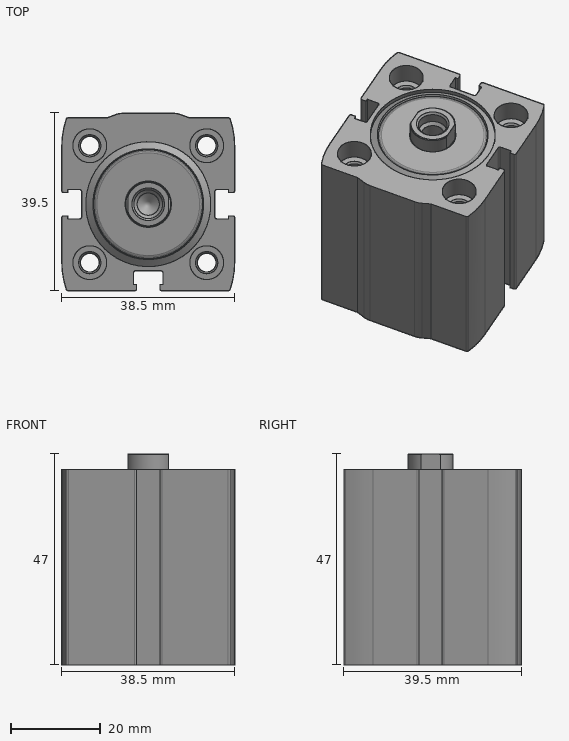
import cadquery as cq
import math

TOTAL_HEIGHT = 47.0
ROD_PROTRUSION = 3.5
HOUSING_HEIGHT = TOTAL_HEIGHT - ROD_PROTRUSION
HALF_WIDTH = 38.5 / 2
BACK_BULGE = 39.5 - 2 * HALF_WIDTH

FLAT_SIDE_HALF = 12.8
SIDE_CURVE_RADIUS = 19.25
CORNER_FILLET = 0.5
BULGE_TOP_HALF = 6.4
BULGE_BASE_HALF = 9.05
BULGE_FILLET = 4.7

SLOT_NECK_HALF = 2.6
SLOT_HEAD_HALF = 3.25
SLOT_LIP = 1.4
SLOT_DEPTH = 4.4
SLOT_MOUTH_FILLET = 0.4
SLOT_CORNER_FILLET = 0.4

HOLE_PITCH = 26.0
HOLE_DIAMETER = 4.15
HOLE_CHAMFER_DIAMETER = 4.95
COUNTERBORE_DIAMETER = 7.5
COUNTERBORE_DEPTH = 5.05

TROUGH_RADIUS = 27.8 / 2
CREST_RADIUS = 12.3
TROUGH_DEPTH = 1.0
GROOVE_RADIUS = 12.1
GROOVE_DEPTH = 0.38
COVER_SHOULDER_RADIUS = 11.8
COVER_SHOULDER_DEPTH = 0.3
COVER_RADIUS = 11.4
COVER_DEPTH = 0.2
ROD_SEAT_CHAMFER = 0.15

ROD_RADIUS = 10.0 / 2
ROD_LENGTH = 23.5
ROD_TOP_CHAMFER = 0.2
ROD_FLAT_HALF = 4.5
ROD_FLAT_LENGTH = 4.6
ROD_SHOULDER_SLOPE = 30.0
ROD_BORE_RADIUS = 6.4 / 2
ROD_BORE_DEPTH = 2.65
ROD_BORE_CHAMFER = 0.4
ROD_BORE_CONE_HEIGHT = 0.55
TAP_RADIUS = 4.95 / 2
TAP_DEPTH = 13.15
DRILL_POINT_ANGLE = 118.0

ROD_BOTTOM = TOTAL_HEIGHT - ROD_LENGTH


def revolved(points, z):
    """Solid of revolution about Z from (radius, height) points, with height 0 moved to z."""
    profile = cq.Workplane("XZ").polyline(points).close()
    return profile.revolve(360, (0, 0, 0), (0, 1, 0)).translate((0, 0, z))


def side_inset(y):
    """How far the curved part of a side has moved inwards at a distance y from the middle."""
    return SIDE_CURVE_RADIUS - math.sqrt(SIDE_CURVE_RADIUS**2 - (y - FLAT_SIDE_HALF) ** 2)


CORNER_X = HALF_WIDTH - side_inset(HALF_WIDTH)


def extruded_profile():
    """Extrusion with curved sides and a low flat bulge along the back (+Y)."""
    mid_y = (FLAT_SIDE_HALF + HALF_WIDTH) / 2
    mid_x = HALF_WIDTH - side_inset(mid_y)
    back_y = HALF_WIDTH + BACK_BULGE
    body = (
        cq.Workplane("XY")
        .moveTo(-CORNER_X, -HALF_WIDTH)
        .lineTo(CORNER_X, -HALF_WIDTH)
        .threePointArc((mid_x, -mid_y), (HALF_WIDTH, -FLAT_SIDE_HALF))
        .lineTo(HALF_WIDTH, FLAT_SIDE_HALF)
        .threePointArc((mid_x, mid_y), (CORNER_X, HALF_WIDTH))
        .lineTo(BULGE_BASE_HALF, HALF_WIDTH)
        .lineTo(BULGE_TOP_HALF, back_y)
        .lineTo(-BULGE_TOP_HALF, back_y)
        .lineTo(-BULGE_BASE_HALF, HALF_WIDTH)
        .lineTo(-CORNER_X, HALF_WIDTH)
        .threePointArc((-mid_x, mid_y), (-HALF_WIDTH, FLAT_SIDE_HALF))
        .lineTo(-HALF_WIDTH, -FLAT_SIDE_HALF)
        .threePointArc((-mid_x, -mid_y), (-CORNER_X, -HALF_WIDTH))
        .close()
        .extrude(HOUSING_HEIGHT)
    )
    mid_z = HOUSING_HEIGHT / 2
    for x_sign in (-1, 1):
        for y_sign in (-1, 1):
            corner = cq.selectors.NearestToPointSelector((x_sign * CORNER_X, y_sign * HALF_WIDTH, mid_z))
            body = body.edges(corner).fillet(CORNER_FILLET)
        bulge_edge = cq.selectors.NearestToPointSelector((x_sign * BULGE_TOP_HALF, back_y, mid_z))
        body = body.edges(bulge_edge).fillet(BULGE_FILLET)
    return body


def t_slot(angle):
    """Full-height cutter for the T-slot in the front (-Y) side, turned about Z by the angle."""
    mouth_y = -HALF_WIDTH
    lip_y = mouth_y + SLOT_LIP
    floor_y = mouth_y + SLOT_DEPTH
    flare = SLOT_MOUTH_FILLET
    flare_mid = flare * (1 - math.sqrt(0.5))
    neck = SLOT_NECK_HALF
    head = (
        cq.Workplane("XY")
        .moveTo(0, (lip_y + floor_y) / 2)
        .rect(2 * SLOT_HEAD_HALF, floor_y - lip_y)
        .extrude(HOUSING_HEIGHT)
        .edges("|Z and >Y")
        .fillet(SLOT_CORNER_FILLET)
    )
    neck_cut = (
        cq.Workplane("XY")
        .moveTo(-neck - flare, mouth_y)
        .threePointArc((-neck - flare_mid, mouth_y + flare_mid), (-neck, mouth_y + flare))
        .lineTo(-neck, lip_y)
        .lineTo(neck, lip_y)
        .lineTo(neck, mouth_y + flare)
        .threePointArc((neck + flare_mid, mouth_y + flare_mid), (neck + flare, mouth_y))
        .close()
        .extrude(HOUSING_HEIGHT)
    )
    return head.union(neck_cut).rotate((0, 0, 0), (0, 0, 1), angle)


def mounting_hole():
    """Cutter for a through hole, chamfered at the floor of its counterbore."""
    hole_radius = HOLE_DIAMETER / 2
    chamfer_radius = HOLE_CHAMFER_DIAMETER / 2
    counterbore_radius = COUNTERBORE_DIAMETER / 2
    chamfer_bottom = -COUNTERBORE_DEPTH - (chamfer_radius - hole_radius)
    points = [
        (0, 0),
        (counterbore_radius, 0),
        (counterbore_radius, -COUNTERBORE_DEPTH),
        (chamfer_radius, -COUNTERBORE_DEPTH),
        (hole_radius, chamfer_bottom),
        (hole_radius, -HOUSING_HEIGHT),
        (0, -HOUSING_HEIGHT),
    ]
    return revolved(points, HOUSING_HEIGHT)


def cover_trough():
    """Cutter for the trough around the cover: upright outer wall, sloping inner wall."""
    points = [(CREST_RADIUS, 0), (TROUGH_RADIUS, 0), (TROUGH_RADIUS, -TROUGH_DEPTH)]
    return revolved(points, HOUSING_HEIGHT)


def cover_recess():
    """Cutter for the shallow cover face, its rim groove and the seat of the rod."""
    seat_depth = HOUSING_HEIGHT - ROD_BOTTOM
    points = [
        (0, 0),
        (CREST_RADIUS, 0),
        (GROOVE_RADIUS, -GROOVE_DEPTH),
        (COVER_SHOULDER_RADIUS, -COVER_SHOULDER_DEPTH),
        (COVER_RADIUS, -COVER_DEPTH),
        (ROD_RADIUS + ROD_SEAT_CHAMFER, -COVER_DEPTH),
        (ROD_RADIUS, -COVER_DEPTH - ROD_SEAT_CHAMFER),
        (ROD_RADIUS, -seat_depth),
        (0, -seat_depth),
    ]
    return revolved(points, HOUSING_HEIGHT)


def make_housing():
    body = extruded_profile()
    for angle in (-90, 0, 90):
        body = body.cut(t_slot(angle))
    hole = mounting_hole()
    for x_sign in (-1, 1):
        for y_sign in (-1, 1):
            body = body.cut(hole.translate((x_sign * HOLE_PITCH / 2, y_sign * HOLE_PITCH / 2, 0)))
    return body.cut(cover_trough()).cut(cover_recess())


def rod_bore():
    """Cutter for the chamfered bore in the rod's end and the tapped hole below it."""
    point_height = TAP_RADIUS / math.tan(math.radians(DRILL_POINT_ANGLE / 2))
    points = [
        (0, 0),
        (ROD_BORE_RADIUS + ROD_BORE_CHAMFER, 0),
        (ROD_BORE_RADIUS, -ROD_BORE_CHAMFER),
        (ROD_BORE_RADIUS, -ROD_BORE_DEPTH),
        (TAP_RADIUS, -ROD_BORE_DEPTH - ROD_BORE_CONE_HEIGHT),
        (TAP_RADIUS, -TAP_DEPTH),
        (0, -TAP_DEPTH - point_height),
    ]
    return revolved(points, TOTAL_HEIGHT)


def rod_flats():
    """Cutter for two flats facing -X and +X, ending below in a conical shoulder."""
    outer_radius = 2 * ROD_RADIUS
    shoulder_drop = (outer_radius - ROD_FLAT_HALF) * math.tan(math.radians(ROD_SHOULDER_SLOPE))
    ring_points = [
        (ROD_FLAT_HALF, 0),
        (outer_radius, 0),
        (outer_radius, -ROD_FLAT_LENGTH - shoulder_drop),
        (ROD_FLAT_HALF, -ROD_FLAT_LENGTH),
    ]
    ring = revolved(ring_points, TOTAL_HEIGHT)
    core = cq.Workplane("XY").rect(2 * ROD_FLAT_HALF, 2 * outer_radius).extrude(TOTAL_HEIGHT)
    return ring.cut(core)


def make_rod():
    rod = cq.Workplane("XY").workplane(offset=ROD_BOTTOM).circle(ROD_RADIUS).extrude(ROD_LENGTH)
    rod = rod.faces(">Z").chamfer(ROD_TOP_CHAMFER)
    return rod.cut(rod_flats()).cut(rod_bore())


housing = make_housing()
piston_rod = make_rod()

result = cq.Compound.makeCompound([housing.val(), piston_rod.val()])